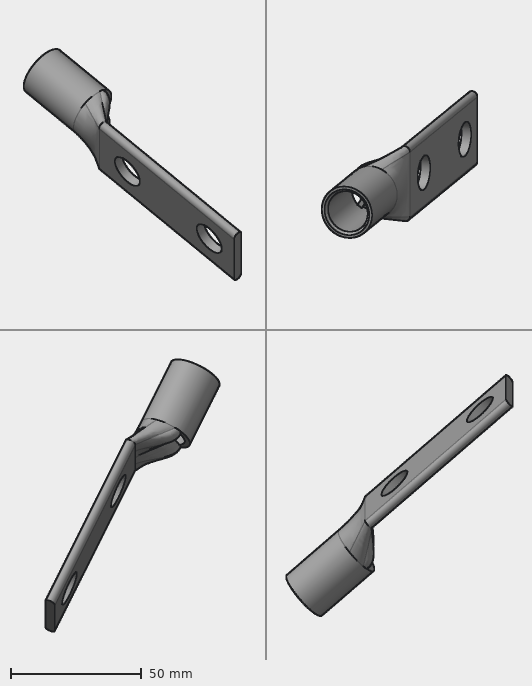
import cadquery as cq
import math


total_length = 114.3
barrel_diameter = 20.65
tongue_width = 30.23

barrel_length = 27.0
bore_diameter = 16.2
mouth_chamfer = 1.05

tongue_thickness = 4.0
hole_diameter = 13.5
hole_spacing = 44.45
hole_end_distance = 13.5

neck_length = 14.0
dent_apex_y = 2.1
dent_slope_angle = 57.0
dent_wall = 2.1
side_half_angle = 22.5
shoulder_middle_angle = 35.0
shoulder_end_radius = 9.2
shoulder_end_z = 6.5
neck_stations = [(0.0, 0.0), (1 / 3, 0.13), (2 / 3, 0.57), (1.0, 1.0)]

cavity_back_depth = 1.5
cavity_front_depth = 8.0

barrel_radius = barrel_diameter / 2
bore_radius = bore_diameter / 2
tongue_start = barrel_length + neck_length
tongue_front_y = -barrel_radius
tongue_back_y = tongue_front_y + tongue_thickness
tongue_middle_y = tongue_front_y + tongue_thickness / 2
edge_radius = tongue_thickness / 2
tongue_flat_z = tongue_width / 2 - edge_radius


def polar(radius, degrees):
    """Point (y, z) on a circle about the barrel axis, measured from +Z toward +Y."""
    angle = math.radians(degrees)
    return (radius * math.sin(angle), radius * math.cos(angle))


def dent_corner_angle(radius, apex_y):
    """Angle at which the sloped dent line from the given apex meets a circle."""
    apex_offset = apex_y * math.sin(math.radians(dent_slope_angle))
    return 90 - dent_slope_angle + math.degrees(math.asin(apex_offset / radius))


def blend(start, end, share):
    """Point at the given share of the way from start to end."""
    return tuple(a + (b - a) * share for a, b in zip(start, end))


def mirror(point):
    """Point (y, z) reflected across the mid plane Z = 0."""
    return (point[0], -point[1])


def edge_through(x, points):
    """Straight edge for two points, arc for three."""
    vectors = [cq.Vector(x, y, z) for y, z in points]
    if len(vectors) == 2:
        return cq.Edge.makeLine(*vectors)
    return cq.Edge.makeThreePointArc(*vectors)


def wire_through(x, runs):
    return cq.Wire.assembleEdges([edge_through(x, run) for run in runs])


def mirrored_outline(front_run, side_runs):
    """Front run, then the +Z side runs up to the apex, then their mirror images back."""
    other_side = [[mirror(p) for p in reversed(run)] for run in reversed(side_runs)]
    return [front_run] + side_runs + other_side


def neck_section(share, back_drop):
    """Outer outline of the neck, from dented circle (share 0) to flat tongue (share 1)."""
    corner_angle = dent_corner_angle(shoulder_end_radius, dent_apex_y)
    shoulder_end = (tongue_back_y, (tongue_flat_z + shoulder_end_z) / 2)

    front_middle = (tongue_front_y, 0)
    front_edge = blend(polar(barrel_radius, -side_half_angle), (tongue_front_y, tongue_flat_z), share)
    side = blend((0, barrel_radius), (tongue_middle_y, tongue_width / 2), share)
    back_edge = blend(polar(barrel_radius, side_half_angle), (tongue_back_y, tongue_flat_z), share)
    shoulder = blend(polar(barrel_radius, shoulder_middle_angle), shoulder_end, back_drop)
    corner = blend(polar(shoulder_end_radius, corner_angle), (tongue_back_y, shoulder_end_z), back_drop)
    apex = blend((dent_apex_y, 0), (tongue_back_y, 0), back_drop)

    if share == 1.0:
        front_run = [mirror(front_edge), front_edge]
        shoulder_run = [back_edge, corner]
    else:
        front_run = [mirror(front_edge), front_middle, front_edge]
        shoulder_run = [back_edge, shoulder, corner]
    side_runs = [[front_edge, side, back_edge], shoulder_run, [corner, apex]]
    x = barrel_length + neck_length * share
    return wire_through(x, mirrored_outline(front_run, side_runs))


def neck_cavity():
    """Bore profile under the dented wall, cut off by a floor that is deepest at the front."""
    apex = (dent_apex_y - dent_wall / math.sin(math.radians(dent_slope_angle)), 0)
    corner = polar(bore_radius, dent_corner_angle(bore_radius, apex[0]))
    profile = (
        cq.Workplane("YZ", origin=(barrel_length, 0, 0))
        .moveTo(*corner)
        .threePointArc((-bore_radius, 0), mirror(corner))
        .lineTo(*apex)
        .close()
        .extrude(cavity_front_depth)
    )
    under_floor = (
        cq.Workplane("XY")
        .moveTo(barrel_length, -bore_radius)
        .lineTo(barrel_length + cavity_front_depth, -bore_radius)
        .lineTo(barrel_length + cavity_back_depth, corner[0])
        .lineTo(barrel_length, corner[0])
        .close()
        .extrude(bore_radius, both=True)
    )
    return profile.intersect(under_floor)


def barrel():
    return cq.Workplane("YZ").circle(barrel_radius).extrude(barrel_length)


def bore():
    straight = cq.Workplane("YZ").circle(bore_radius).extrude(barrel_length)
    mouth = cq.Solid.makeCone(
        bore_radius + mouth_chamfer, bore_radius, mouth_chamfer, cq.Vector(0, 0, 0), cq.Vector(1, 0, 0)
    )
    return straight.union(cq.Workplane(mouth))


def neck():
    sections = [neck_section(share, drop) for share, drop in neck_stations]
    return cq.Workplane(cq.Solid.makeLoft(sections))


def tongue():
    """Flat bar with fully rounded long edges."""
    return (
        cq.Workplane("YZ", origin=(tongue_start, tongue_middle_y, 0))
        .slot2D(tongue_width, tongue_thickness, 90)
        .extrude(total_length - tongue_start)
    )


def stud_holes():
    outer_hole_x = total_length - hole_end_distance
    return (
        cq.Workplane("XZ", origin=(0, tongue_back_y, 0))
        .pushPoints([(outer_hole_x, 0), (outer_hole_x - hole_spacing, 0)])
        .circle(hole_diameter / 2)
        .extrude(tongue_thickness)
    )


body = barrel().union(neck()).union(tongue())
result = body.cut(bore()).cut(neck_cavity()).cut(stud_holes())